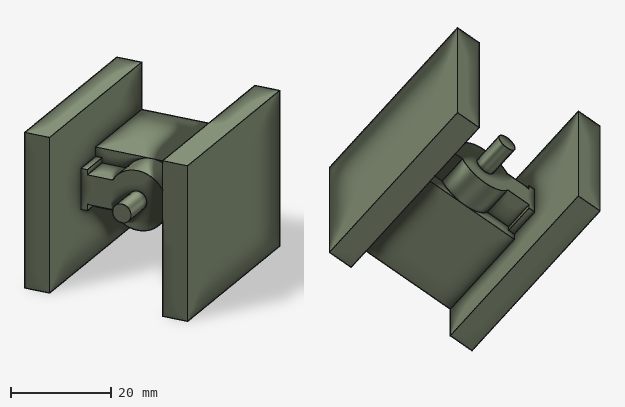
import cadquery as cq

length = 41.0
width = 36.3
plate_height = 34.0
plate_thickness = 5.55
gap = width - 2 * plate_thickness

block_height = 13.05
block_length = 20.5
axis_height = 0.15
back_y = length / 2
block_front_y = back_y - block_length

mount_depth = 6.5
hub_diameter = block_height
arm_height = 6.45
arm_center_z = 0.3
lip_height = 8.95
lip_width = 1.45
mount_front_y = block_front_y - mount_depth

pin_diameter = 4.1
pin_length = 7.0


def box(size_x, size_z, depth, center_x, center_z, front_y):
    """Box running backwards from front_y."""
    center = (center_x, front_y + depth / 2, center_z)
    return cq.Workplane("XY").box(size_x, depth, size_z).translate(center)


def cylinder(diameter, depth, front_y):
    """Cylinder along Y on the pin axis, running backwards from front_y."""
    plane = cq.Workplane("XZ", origin=(0, front_y, axis_height))
    return plane.circle(diameter / 2).extrude(-depth)


result = box(gap, block_height, block_length, 0, axis_height, block_front_y)
result = result.union(box(gap, arm_height, mount_depth, 0, arm_center_z, mount_front_y))
result = result.union(cylinder(hub_diameter, mount_depth, mount_front_y))
result = result.union(cylinder(pin_diameter, pin_length, mount_front_y - pin_length))

for side in (-1, 1):
    plate_x = side * (width - plate_thickness) / 2
    lip_x = side * (gap - lip_width) / 2
    result = result.union(box(plate_thickness, plate_height, length, plate_x, 0, -back_y))
    result = result.union(box(lip_width, lip_height, mount_depth, lip_x, axis_height, mount_front_y))